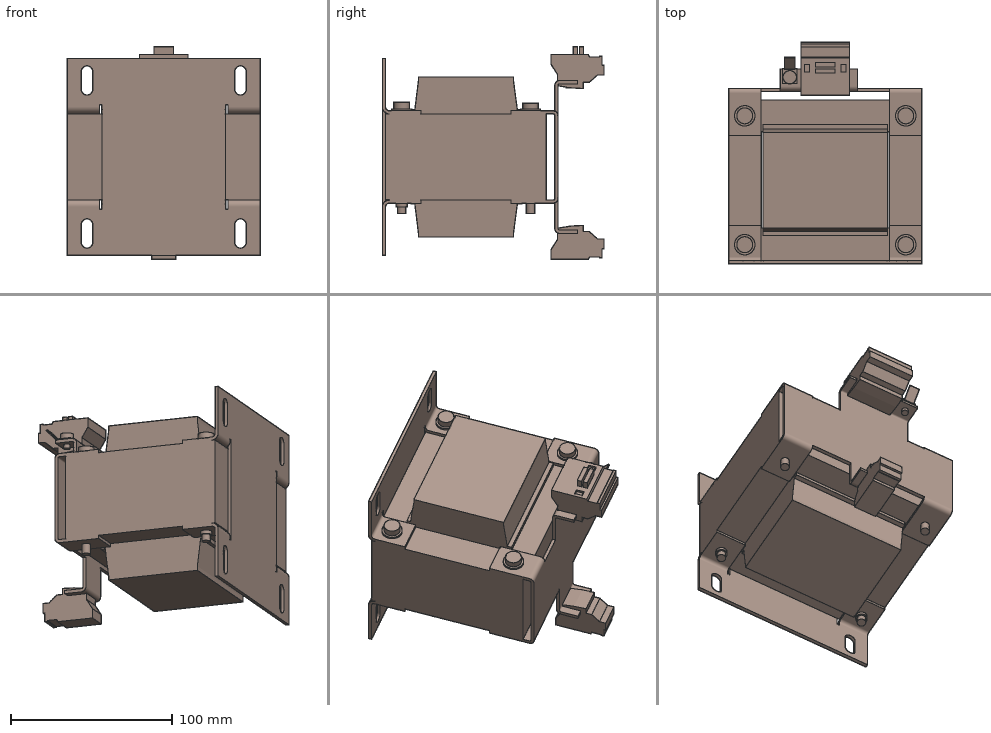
import cadquery as cq
import math


sheet = 2.0
overall_width = 120.0
half_width = overall_width / 2
plate_half_height = 61.1
tab_inner_x = 39.8
tab_inner_z = 26.7
tab_outer_z = tab_inner_z + sheet
mount_bend_radius = 4.3
mount_tab_end_y = 24.0
window_inner_x = 38.3
window_half_height = 32.4
slot_x = 47.6
slot_z = 47.5
slot_length = 18.0
slot_width = 7.0

bracket_outer_y = 109.0
bracket_inner_y = bracket_outer_y - sheet
bracket_bend_radius = 3.2
bracket_tab_end_y = 79.7
shelf_outer_z = 47.5
shelf_end_y = 121.2
top_shelf_left_x = -28.1
top_shelf_right_x = 20.1
bottom_shelf_half_width = 12.5

core_front_y = sheet
core_rear_y = 101.9
core_window_front_y = 22.5
core_window_rear_y = 82.1
core_window_half_width = 39.7
coil_half_width = 38.7
coil_half_height = 49.7
coil_rim_height = 2.6
coil_top_front_y = 22.3
coil_top_rear_y = 81.5
coil_foot_front_y = 20.1
coil_foot_rear_y = 83.9
flange_front_y = 17.8
flange_rear_y = 86.8
flange_half_height = 29.3

bolt_x = 50.0
front_bolt_y = 12.0
rear_bolt_y = 92.0
bolt_diameter = 5.4
bolt_end_z = -35.1
head_diameter = 9.9
washer_diameter = 12.7
washer_top_z = 29.9
front_head_top_z = 34.0
rear_head_top_z = 33.5
nut_diameter = 7.2
nut_bottom_z = -31.0

terminal_width = 15.1
terminal_top_z = 63.6
terminal_front_y = 104.7
terminal_rear_y = 137.7
terminal_waist_y = 108.6
terminal_hook_y = 124.8
terminal_lip_y = 136.5
terminal_bevel_z = 50.8
terminal_nose_top_z = 57.0
terminal_lip_z = 62.7
terminal_recess_z = 62.1
terminal_outline = [
    (127.9, terminal_top_z),
    (terminal_front_y, terminal_top_z),
    (terminal_front_y, 57.5),
    (terminal_waist_y, 51.2),
    (terminal_waist_y, 44.2),
    (117.0, 42.8),
    (terminal_hook_y, 42.4),
    (terminal_hook_y, 46.3),
    (128.5, 46.3),
    (133.6, terminal_bevel_z),
    (terminal_rear_y, terminal_bevel_z),
    (terminal_rear_y, terminal_nose_top_z),
    (terminal_lip_y, terminal_nose_top_z),
    (terminal_lip_y, terminal_lip_z),
    (134.7, terminal_lip_z),
    (134.7, terminal_recess_z),
    (128.6, terminal_recess_z),
]
bar_length = 12.3
bar_thickness = 2.8
bar_front_ys = (118.4, 122.3)
bar_top_z = 68.5
pocket_x = 11.3
pocket_y = 121.6
pocket_width = 3.3
pocket_length = 4.8
pocket_depth = 1.4

earth_x = -22.0
earth_y = 116.0
earth_head_diameter = 8.3
earth_head_top_z = 52.0
earth_shank_diameter = 4.1
earth_shank_end_z = 43.0
clip_half_width = 4.4
clip_front_y = 112.0
clip_rear_y = 121.5
clip_thickness = 1.1
lug_width = 6.6
lug_thickness = 0.8
lug_length = 9.9
lug_angle = 45


def box(x0, x1, y0, y1, z0, z1):
    """Block between two opposite corners."""
    return cq.Workplane("XY").box(x1 - x0, y1 - y0, z1 - z0, centered=False).translate((x0, y0, z0))


def rod(x, y, diameter, z0, z1):
    """Vertical cylinder."""
    return cq.Workplane("XY").center(x, y).circle(diameter / 2).extrude(z1 - z0).translate((0, 0, z0))


def profile(x0, x1):
    """Empty sketch in the YZ plane at x0 and the length to x1."""
    return cq.Workplane("YZ", origin=(x0, 0, 0)), x1 - x0


def both_sides(shape):
    """The shape and its mirror image in X."""
    return shape.union(shape.mirror("YZ"))


def top_and_bottom(shape):
    """The shape and its mirror image in Z."""
    return shape.union(shape.mirror("XY"))


def bent_strip(x0, x1, wall_y, wall_end_z, flange_z, flange_end_y, radius):
    """L-shaped strip: the wall's and flange's outer faces meet in a bend of the given outer radius."""
    y_dir = math.copysign(1, flange_end_y - wall_y)
    z_dir = math.copysign(1, wall_end_z - flange_z)
    centre_y = wall_y + y_dir * radius
    centre_z = flange_z + z_dir * radius
    inner_radius = radius - sheet
    diagonal = math.sqrt(0.5)

    def arc_middle(r):
        return (centre_y - y_dir * r * diagonal, centre_z - z_dir * r * diagonal)

    sketch, length = profile(x0, x1)
    return (
        sketch.moveTo(wall_y, wall_end_z)
        .lineTo(wall_y, centre_z)
        .threePointArc(arc_middle(radius), (centre_y, flange_z))
        .lineTo(flange_end_y, flange_z)
        .lineTo(flange_end_y, flange_z + z_dir * sheet)
        .lineTo(centre_y, flange_z + z_dir * sheet)
        .threePointArc(arc_middle(inner_radius), (wall_y + y_dir * sheet, centre_z))
        .lineTo(wall_y + y_dir * sheet, wall_end_z)
        .close()
        .extrude(length)
    )


def mounting_plate():
    """Slotted plate with side windows whose tabs are bent back over the core."""
    plate = box(-half_width, half_width, 0, sheet, -plate_half_height, plate_half_height)
    plate = plate.cut(
        both_sides(box(window_inner_x, half_width, 0, sheet, -window_half_height, window_half_height))
    )
    slots = (
        cq.Workplane("XZ")
        .rect(2 * slot_x, 2 * slot_z, forConstruction=True)
        .vertices()
        .slot2D(slot_length, slot_width, 90)
        .extrude(-sheet)
    )
    tab = bent_strip(
        tab_inner_x, half_width, 0, window_half_height, tab_inner_z, mount_tab_end_y, mount_bend_radius
    )
    return plate.cut(slots).union(both_sides(top_and_bottom(tab)))


def rear_bracket():
    """Rear wall with four tabs bent onto the core and two shelves bent outwards."""
    wall_half_height = tab_outer_z - bracket_bend_radius
    wall = box(-half_width, half_width, bracket_inner_y, bracket_outer_y, -wall_half_height, wall_half_height)
    tab = bent_strip(
        tab_inner_x, half_width, bracket_outer_y, 0, tab_outer_z, bracket_tab_end_y, bracket_bend_radius
    )
    top_shelf = bent_strip(
        top_shelf_left_x, top_shelf_right_x,
        bracket_inner_y, 0, shelf_outer_z, shelf_end_y, bracket_bend_radius,
    )
    bottom_shelf = bent_strip(
        -bottom_shelf_half_width, bottom_shelf_half_width,
        bracket_inner_y, 0, -shelf_outer_z, shelf_end_y, bracket_bend_radius,
    )
    return wall.union(both_sides(top_and_bottom(tab))).union(top_shelf).union(bottom_shelf)


def core():
    """Laminated core with a window around the coil."""
    block = box(-half_width, half_width, core_front_y, core_rear_y, -tab_inner_z, tab_inner_z)
    window = box(
        -core_window_half_width, core_window_half_width,
        core_window_front_y, core_window_rear_y, -tab_inner_z, tab_inner_z,
    )
    return block.cut(window)


def coil():
    """Coil through the core window, with flanges and tapered, straight-rimmed heads on both ends."""
    body = box(
        -coil_half_width, coil_half_width, core_window_front_y, core_window_rear_y, -tab_inner_z, tab_inner_z
    )
    flange = box(
        -coil_half_width, coil_half_width, flange_front_y, flange_rear_y, tab_inner_z, flange_half_height
    )
    rim_z = coil_half_height - coil_rim_height
    sketch, length = profile(-coil_half_width, coil_half_width)
    head = (
        sketch.moveTo(coil_foot_front_y, flange_half_height)
        .lineTo(coil_top_front_y, rim_z)
        .lineTo(coil_top_front_y, coil_half_height)
        .lineTo(coil_top_rear_y, coil_half_height)
        .lineTo(coil_top_rear_y, rim_z)
        .lineTo(coil_foot_rear_y, flange_half_height)
        .close()
        .extrude(length)
    )
    return body.union(top_and_bottom(flange.union(head)))


def core_bolts():
    """Four clamping bolts with washers; the front pair also carries nuts."""
    front = rod(bolt_x, front_bolt_y, head_diameter, tab_outer_z, front_head_top_z)
    front = front.union(rod(bolt_x, front_bolt_y, nut_diameter, nut_bottom_z, -tab_inner_z))
    rear = rod(bolt_x, rear_bolt_y, head_diameter, tab_outer_z, rear_head_top_z)
    bolts = front.union(rear)
    for y in (front_bolt_y, rear_bolt_y):
        bolts = bolts.union(rod(bolt_x, y, washer_diameter, tab_outer_z, washer_top_z))
        bolts = bolts.union(rod(bolt_x, y, bolt_diameter, bolt_end_z, tab_outer_z))
    return both_sides(bolts)


def terminal_block(width):
    """Terminal block fixed on the top shelf, centred on X = 0."""
    sketch, length = profile(-width / 2, width / 2)
    return sketch.polyline(terminal_outline).close().extrude(length)


def top_terminals():
    """Double terminal block with two marker bars and a driver pocket on each side."""
    block = terminal_block(2 * terminal_width)
    for y in bar_front_ys:
        block = block.union(
            box(-bar_length / 2, bar_length / 2, y, y + bar_thickness, terminal_top_z, bar_top_z)
        )
    pocket = box(
        pocket_x - pocket_width / 2, pocket_x + pocket_width / 2,
        pocket_y - pocket_length / 2, pocket_y + pocket_length / 2,
        terminal_top_z - pocket_depth, terminal_top_z,
    )
    return block.cut(both_sides(pocket))


def earth_screw():
    """Screw on the top shelf holding a clip with a lug tilted upwards."""
    clip_top_z = shelf_outer_z + clip_thickness
    screw = rod(earth_x, earth_y, earth_head_diameter, clip_top_z, earth_head_top_z)
    screw = screw.union(rod(earth_x, earth_y, earth_shank_diameter, earth_shank_end_z, clip_top_z))
    clip = box(
        earth_x - clip_half_width, earth_x + clip_half_width,
        clip_front_y, clip_rear_y, shelf_outer_z, clip_top_z,
    )
    lug = (
        cq.Workplane("XY")
        .box(lug_width, lug_length, lug_thickness, centered=(True, False, False))
        .rotate((0, 0, 0), (1, 0, 0), lug_angle)
        .translate((earth_x, clip_rear_y, shelf_outer_z + clip_thickness / 2))
    )
    return screw.union(clip).union(lug)


result = (
    core()
    .union(coil())
    .union(mounting_plate())
    .union(rear_bracket())
    .union(core_bolts())
    .union(top_terminals())
    .union(terminal_block(terminal_width).mirror("XY"))
    .union(earth_screw())
)